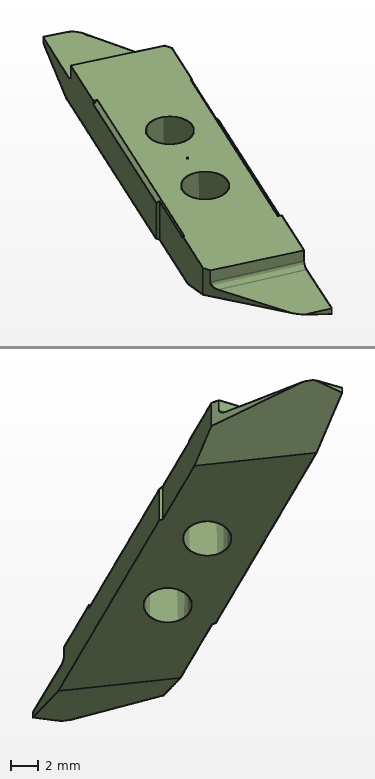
import cadquery as cq
import math

length = 40.0
width = 8.0
height = 3.6
half_length = length / 2
half_width = width / 2

side_relief = 0.2
step_x = 4.1
slant_start_x = 13.6
slant_angle = 39.5
nose_radius = 1.2

wall_x = 14.1
wall_fillet = 0.5
tip_height = 2.3
floor_slope = 0.8
floor_tilt = 0.9

ramp_foot_x = 15.1
ramp_skew = 31.4
ramp_angle = 22.8

chamfer_half_length = 9.3
chamfer_size = 0.3
hole_diameter = 3.55
hole_x = 3.75
centre_mark_diameter = 0.1
centre_mark_depth = 0.1

overcut = 4.0


def half_turn(body):
    """Copy of a body turned to the opposite end."""
    return body.rotate((0, 0, 0), (0, 0, 1), 180)


def make_blank():
    relieved_y = half_width - side_relief
    flank_rise = (half_length - slant_start_x) * math.tan(math.radians(slant_angle))
    nose_y = flank_rise - relieved_y
    half_outline = [
        (step_x, -half_width),
        (step_x + side_relief, -relieved_y),
        (slant_start_x, -relieved_y),
        (half_length, nose_y),
        (half_length, half_width),
    ]
    outline = half_outline + [(-x, -y) for x, y in half_outline]
    blank = cq.Workplane("XY").polyline(outline).close().extrude(height)
    for side in (1, -1):
        nose = cq.selectors.NearestToPointSelector(
            (side * half_length, side * nose_y, height / 2)
        )
        blank = blank.edges("|Z").edges(nose).fillet(nose_radius)
    return blank


def make_floor_cutter():
    """Body above the +X cutting floor, bounded by the filleted wall."""
    reach = half_length + overcut
    slope = math.tan(math.radians(floor_slope))
    floor_at_wall = tip_height - (half_length - wall_x) * slope
    profile = [
        (wall_x, floor_at_wall),
        (reach, tip_height + overcut * slope),
        (reach, height + overcut),
        (wall_x, height + overcut),
    ]
    corner = cq.selectors.NearestToPointSelector((wall_x, 0, floor_at_wall))
    cutter = (
        cq.Workplane("XZ").polyline(profile).close()
        .extrude(width, both=True)
        .edges("|Y").edges(corner).fillet(wall_fillet)
    )
    pivot = (0, half_width, tip_height)
    pivot_end = (1, half_width, tip_height)
    return cutter.rotate(pivot, pivot_end, floor_tilt)


def make_ramp_cutter():
    """Wedge below the skewed ramp under the +X end."""
    rise = length * math.tan(math.radians(ramp_angle))
    wedge = (
        cq.Workplane("XZ")
        .polyline([(0, 0), (length, rise), (length, -overcut), (0, -overcut)]).close()
        .extrude(length, both=True)
    )
    return (
        wedge.rotate((0, 0, 0), (0, 0, 1), -ramp_skew)
        .translate((ramp_foot_x, half_width, 0))
    )


def make_chamfer_cutter():
    """Triangular bar along the top edge of the +Y side."""
    section = [
        (half_width, height),
        (half_width, height - chamfer_size),
        (half_width - chamfer_size, height),
    ]
    return cq.Workplane("YZ").polyline(section).close().extrude(chamfer_half_length, both=True)


result = make_blank()
for cutter in (make_floor_cutter(), make_ramp_cutter(), make_chamfer_cutter()):
    result = result.cut(cutter).cut(half_turn(cutter))

holes = (
    cq.Workplane("XY")
    .pushPoints([(-hole_x, 0), (hole_x, 0)])
    .circle(hole_diameter / 2)
    .extrude(height)
)
result = result.cut(holes)

centre_mark = (
    cq.Workplane("XY", origin=(0, 0, height))
    .circle(centre_mark_diameter / 2)
    .extrude(-centre_mark_depth)
)
result = result.cut(centre_mark)